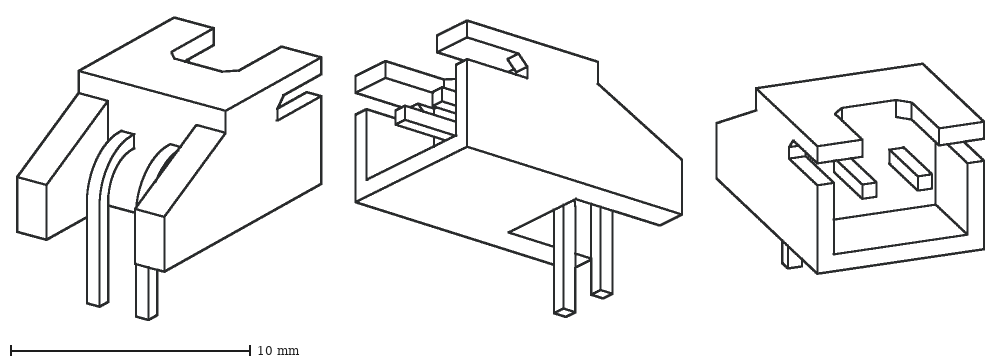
import cadquery as cq

length = 11.5
width = 7.5
housing_height = 5.75
body_depth = 7.0
body_front = length - body_depth

side_wall = 0.75
roof = 0.77
floor = roof
key_notch_width = 3.45
key_notch_depth = 3.62
key_notch_chamfer = 0.51
cavity_depth = key_notch_depth

slot_height = 0.99
slot_depth = 3.22
slot_chamfer = 0.47

wing_width = 1.5
wing_tip_height = 2.5
wing_root_drop = 1.0

pin_size = 0.64
pin_pitch = 2.5
pin_tail = 3.4
pin_top_drop = 2.2
pin_front = 1.98
pin_end_recess = 0.4
bend_outer_radius = 2.33
bend_inner_radius = bend_outer_radius - pin_size

housing_bottom = pin_tail
housing_top = housing_bottom + housing_height
roof_underside = housing_top - roof
pin_top = housing_top - pin_top_drop
pin_positions = [-pin_pitch / 2, pin_pitch / 2]


def extrude_across(profile, x_center, thickness):
    """Extrude a closed YZ profile symmetrically about x_center."""
    return profile.extrude(thickness / 2, both=True).translate((x_center, 0, 0))


def make_pin(x_center):
    """One square pin with a horizontal contact, a round bend and a solder tail."""
    bend_center_y = pin_front + bend_outer_radius
    bend_center_z = pin_top - bend_outer_radius
    contact_end = length - pin_end_recess
    profile = (
        cq.Workplane("YZ")
        .moveTo(pin_front, 0)
        .lineTo(pin_front, bend_center_z)
        .radiusArc((bend_center_y, pin_top), bend_outer_radius)
        .lineTo(contact_end, pin_top)
        .lineTo(contact_end, pin_top - pin_size)
        .lineTo(bend_center_y, pin_top - pin_size)
        .radiusArc((pin_front + pin_size, bend_center_z), -bend_inner_radius)
        .lineTo(pin_front + pin_size, 0)
        .close()
    )
    return extrude_across(profile, x_center, pin_size)


def make_outer_block():
    """Side silhouette across the full width, with the space between the wings removed."""
    silhouette = (
        cq.Workplane("YZ")
        .moveTo(0, housing_bottom)
        .lineTo(length, housing_bottom)
        .lineTo(length, housing_top)
        .lineTo(body_front, housing_top)
        .lineTo(body_front, housing_top - wing_root_drop)
        .lineTo(0, housing_bottom + wing_tip_height)
        .close()
    )
    wing_gap = cq.Workplane("XY", origin=(0, 0, housing_bottom)).box(
        width - 2 * wing_width, body_front, housing_height, centered=(True, False, False)
    )
    return extrude_across(silhouette, 0, width).cut(wing_gap)


def make_cavity():
    """Rectangular mating cavity."""
    return cq.Workplane("XY", origin=(0, length - cavity_depth, housing_bottom + floor)).box(
        width - 2 * side_wall,
        cavity_depth,
        housing_height - floor - roof,
        centered=(True, False, False),
    )


def make_key_notch():
    """Notch through the roof with both inner corners chamfered."""
    return (
        cq.Workplane("XY", origin=(0, length - key_notch_depth, roof_underside))
        .box(key_notch_width, key_notch_depth, roof, centered=(True, False, False))
        .edges("|Z and <Y")
        .chamfer(key_notch_chamfer)
    )


def make_side_slots():
    """Slot profile with its upper inner corner chamfered, cut through both side walls."""
    return (
        cq.Workplane("XY", origin=(0, length - slot_depth, roof_underside - slot_height))
        .box(width, slot_depth, slot_height, centered=(True, False, False))
        .edges("|X and <Y and >Z")
        .chamfer(slot_chamfer)
    )


def make_housing(pins):
    """Housing with a matching passage for every pin."""
    housing = make_outer_block().cut(make_cavity()).cut(make_key_notch()).cut(make_side_slots())
    for pin in pins:
        housing = housing.cut(pin)
    return housing


pins = [make_pin(x) for x in pin_positions]
housing = make_housing(pins)

result = cq.Compound.makeCompound([housing.solids().val(), *[pin.solids().val() for pin in pins]])